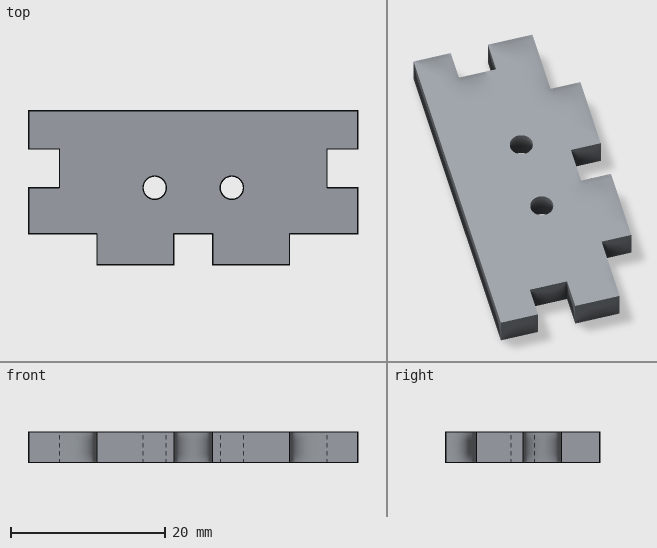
import cadquery as cq

length = 42.7
overall_depth = 20.0
thickness = 4.0

tab_width = 10.0
tab_gap = 5.0
tab_depth = thickness
body_depth = overall_depth - tab_depth

notch_width = 5.0
notch_depth = thickness
notch_from_back = 5.0

hole_diameter = 3.0
hole_spacing = 10.0

front_y = -overall_depth / 2
back_y = overall_depth / 2


def box(width, depth, center_x, low_y):
    """Full-thickness block placed by its X centre and its lower Y side."""
    block = cq.Workplane("XY").box(width, depth, thickness, centered=(True, False, False))
    return block.translate((center_x, low_y, 0))


result = box(length, body_depth, 0, front_y + tab_depth)

for side in (-1, 1):
    tab_x = side * (tab_gap + tab_width) / 2
    result = result.union(box(tab_width, tab_depth, tab_x, front_y))

    notch_x = side * (length - notch_depth) / 2
    notch_y = back_y - notch_from_back - notch_width
    result = result.cut(box(notch_depth, notch_width, notch_x, notch_y))

holes = (
    cq.Workplane("XY")
    .pushPoints([(-hole_spacing / 2, 0), (hole_spacing / 2, 0)])
    .circle(hole_diameter / 2)
    .extrude(thickness)
)
result = result.cut(holes)